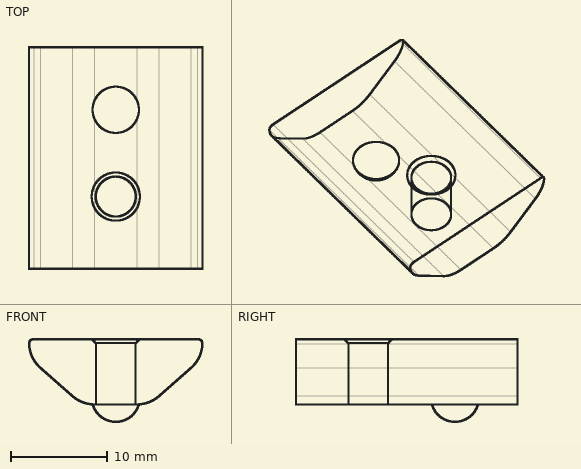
import math

import cadquery as cq

width = 18.0
length = 23.0
body_height = 6.8

flank_angle = 41.4
top_edge_radius = 0.5
shoulder_radius = 3.5
shoulder_lean = 2.5
keel_radius = 3.5

hole_diameter = 4.13
countersink_diameter = 5.0
countersink_angle = 90.0
hole_y = -4.0

ball_radius = 2.5
ball_protrusion = 1.8
ball_y = 5.0


def arc_point(center, radius, degrees):
    """Point on a circle at an angle measured from +X toward +Z."""
    angle = math.radians(degrees)
    return (center[0] + radius * math.cos(angle), center[1] + radius * math.sin(angle))


def mirrored(point):
    return (-point[0], point[1])


def make_body():
    """Symmetric profile of tangent arcs and straight flanks."""
    half_width = width / 2
    normal_angle = flank_angle - 90
    edge_center = (half_width - top_edge_radius, -top_edge_radius)
    shoulder_center = arc_point(edge_center, top_edge_radius - shoulder_radius, -shoulder_lean)

    flank_top = arc_point(shoulder_center, shoulder_radius, normal_angle)
    keel_center_z = keel_radius - body_height
    flank_bottom_z = arc_point((0, keel_center_z), keel_radius, normal_angle)[1]
    flank_run = (flank_top[1] - flank_bottom_z) / math.tan(math.radians(flank_angle))
    flank_bottom = (flank_top[0] - flank_run, flank_bottom_z)
    keel_center_x = flank_bottom[0] - keel_radius * math.cos(math.radians(normal_angle))
    keel_center = (keel_center_x, keel_center_z)

    top_end = (edge_center[0], 0)
    edge_middle = arc_point(edge_center, top_edge_radius, (90 - shoulder_lean) / 2)
    shoulder_start = arc_point(edge_center, top_edge_radius, -shoulder_lean)
    shoulder_middle = arc_point(shoulder_center, shoulder_radius, (normal_angle - shoulder_lean) / 2)
    keel_middle = arc_point(keel_center, keel_radius, (normal_angle - 90) / 2)
    bottom_end = (keel_center_x, -body_height)

    profile = (
        cq.Workplane("XZ", origin=(0, length / 2, 0))
        .moveTo(*mirrored(top_end))
        .lineTo(*top_end)
        .threePointArc(edge_middle, shoulder_start)
        .threePointArc(shoulder_middle, flank_top)
        .lineTo(*flank_bottom)
        .threePointArc(keel_middle, bottom_end)
        .lineTo(*mirrored(bottom_end))
        .threePointArc(mirrored(keel_middle), mirrored(flank_bottom))
        .lineTo(*mirrored(flank_top))
        .threePointArc(mirrored(shoulder_middle), mirrored(shoulder_start))
        .threePointArc(mirrored(edge_middle), mirrored(top_end))
        .close()
    )
    return profile.extrude(length)


def cut_hole(body):
    """Through hole with a 45-degree countersink in the top face."""
    return (
        body.faces(">Z")
        .workplane(origin=(0, hole_y, 0))
        .cskHole(hole_diameter, countersink_diameter, countersink_angle)
    )


def make_ball():
    ball_z = ball_radius - body_height - ball_protrusion
    return cq.Workplane("XY").sphere(ball_radius).translate((0, ball_y, ball_z))


result = cut_hole(make_body()).union(make_ball())